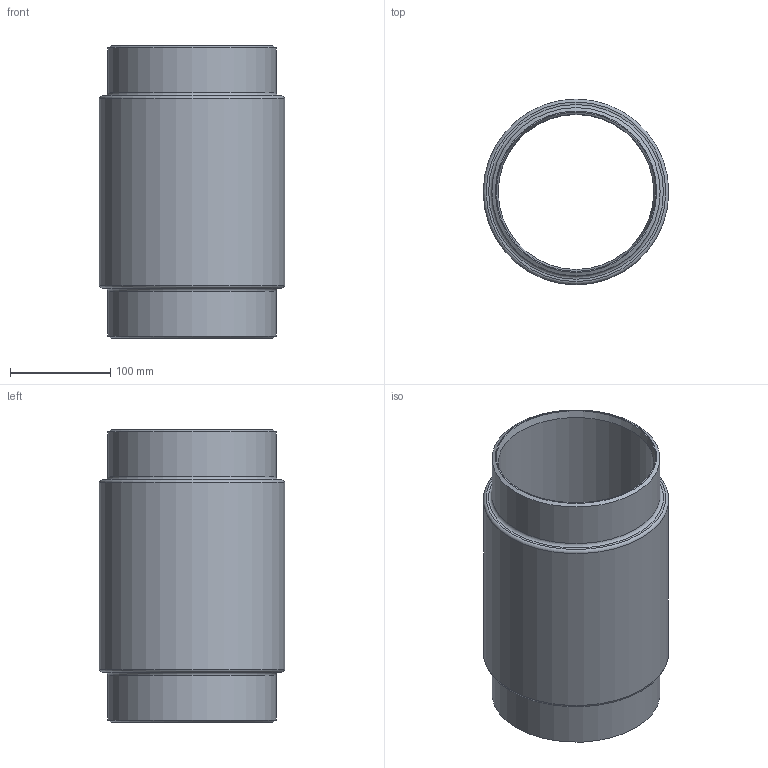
import cadquery as cq
import math

total_length = 292.0
sleeve_length = 192.0
sleeve_diameter = 185.5
spigot_diameter = 168.3
bore_diameter = 155.5

sleeve_edge_radius = 3.0
shoulder_root_radius = 3.2

bevel_height = 2.0
bevel_angle = 60.0
bevel_width = bevel_height * math.tan(math.radians(bevel_angle))
mouth_width = 1.9
mouth_depth = 7.0


def centered_cylinder(diameter, length):
    """Cylinder along Z, symmetric about the XY plane."""
    return cq.Workplane("XY").cylinder(length, diameter / 2)


def spigot_pipe():
    """Full-length outer cylinder, beveled at both ends."""
    pipe = centered_cylinder(spigot_diameter, total_length)
    return pipe.faces("<Z or >Z").edges().chamfer(bevel_height, bevel_width)


def sleeve():
    """Thicker middle section with rounded outer edges."""
    blank = centered_cylinder(sleeve_diameter, sleeve_length)
    return blank.faces("<Z or >Z").edges().fillet(sleeve_edge_radius)


def shoulder_root(side):
    """Concave ring blending one shoulder into its spigot; side is +1 (top) or -1 (bottom)."""
    inner = spigot_diameter / 2
    outer = inner + shoulder_root_radius
    shoulder = side * sleeve_length / 2
    ring_end = shoulder + side * shoulder_root_radius
    diagonal = shoulder_root_radius * 0.5 ** 0.5
    arc_middle = (outer - diagonal, ring_end - side * diagonal)
    profile = (
        cq.Workplane("XZ")
        .moveTo(inner, shoulder)
        .lineTo(outer, shoulder)
        .threePointArc(arc_middle, (inner, ring_end))
        .close()
    )
    return profile.revolve(360, (0, 0, 0), (0, 1, 0))


def bore():
    """Through bore that widens conically toward both ends."""
    radius = bore_diameter / 2
    end = total_length / 2
    taper_start = end - mouth_depth
    mouth_radius = radius + mouth_width
    profile = (
        cq.Workplane("XZ")
        .moveTo(0, -end)
        .lineTo(mouth_radius, -end)
        .lineTo(radius, -taper_start)
        .lineTo(radius, taper_start)
        .lineTo(mouth_radius, end)
        .lineTo(0, end)
        .close()
    )
    return profile.revolve(360, (0, 0, 0), (0, 1, 0))


body = spigot_pipe().union(sleeve())
for side in (1, -1):
    body = body.union(shoulder_root(side))

result = body.cut(bore())